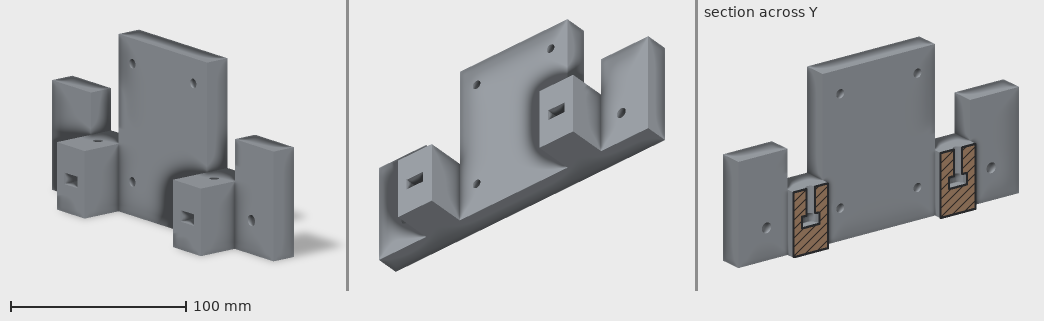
import cadquery as cq

total_width = 200.0
plate_thickness = 15.0
center_width = 80.0
center_height = 105.0
wing_height = 65.0
block_width = 25.0
block_depth = 40.0
block_height = 40.0
wing_width = (total_width - center_width) / 2 - block_width

hole_height = 20.0
mount_diameter = 5.5
mount_spacing_x = 55.0
mount_spacing_z = 70.0
wing_hole_diameter = 6.5
wing_hole_spacing = 160.0

screw_diameter = 5.5
nut_width = 12.2
nut_corner_chamfer = nut_width / 4
nut_pocket_height = 6.8
nut_height = hole_height
nut_y = -block_depth / 2

block_x = (center_width + block_width) / 2
wing_x = (total_width - wing_width) / 2


def standing_box(x, width, depth, height):
    """Box on the base plane with its back face at Y = 0."""
    box = cq.Workplane("XY").box(width, depth, height, centered=(True, False, False))
    return box.translate((x, -depth, 0))


def through_hole(x, z, diameter):
    """Cutter running through the plate thickness."""
    return cq.Workplane("XZ").center(x, z).circle(diameter / 2).extrude(plate_thickness)


def nut_pocket(x):
    """Nut seat with chamfered inner corners that opens to the front of the block."""
    half_width = nut_width / 2
    half_flat = half_width - nut_corner_chamfer
    inner_end = nut_y + half_width
    chamfer_start = inner_end - nut_corner_chamfer
    outline = [
        (x - half_width, -block_depth),
        (x - half_width, chamfer_start),
        (x - half_flat, inner_end),
        (x + half_flat, inner_end),
        (x + half_width, chamfer_start),
        (x + half_width, -block_depth),
    ]
    pocket_floor = nut_height - nut_pocket_height / 2
    return cq.Workplane("XY", origin=(0, 0, pocket_floor)).polyline(outline).close().extrude(nut_pocket_height)


def screw_hole(x):
    """Vertical hole from the top of the block down into the nut pocket."""
    start = cq.Workplane("XY", origin=(x, nut_y, nut_height))
    return start.circle(screw_diameter / 2).extrude(block_height - nut_height)


result = standing_box(0, center_width, plate_thickness, center_height)
for side in (-1, 1):
    result = result.union(standing_box(side * block_x, block_width, block_depth, block_height))
    result = result.union(standing_box(side * wing_x, wing_width, plate_thickness, wing_height))

for side in (-1, 1):
    for z in (hole_height, hole_height + mount_spacing_z):
        result = result.cut(through_hole(side * mount_spacing_x / 2, z, mount_diameter))
    result = result.cut(through_hole(side * wing_hole_spacing / 2, hole_height, wing_hole_diameter))
    result = result.cut(nut_pocket(side * block_x))
    result = result.cut(screw_hole(side * block_x))